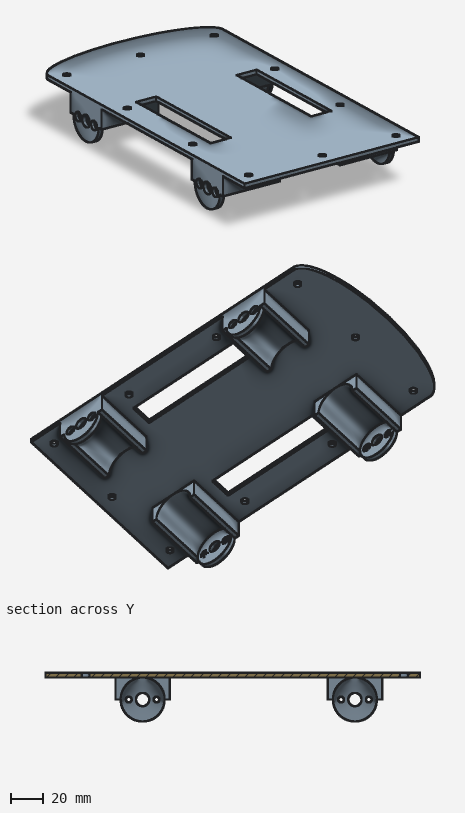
import cadquery as cq

plate_width = 130.0
plate_straight = 210.0
nose_length = 19.65
plate_thickness = 3.0

plate_hole_diameter = 4.5
edge_margin = 10.0
side_hole_x = (-edge_margin, -70.0, -140.0, -205.0)
middle_hole_x = (side_hole_x[0], side_hole_x[-1])
hole_row_y = plate_width / 2 - edge_margin

slot_length = 80.0
slot_width = 15.0
slot_center_x = -105.0
slot_center_y = 37.5

mount_x = (-40.0, -170.0)
mount_depth = 42.5
wall = 3.25
motor_radius = 13.5
motor_axis_z = -(plate_thickness + motor_radius)
mount_width = 2 * (motor_radius + wall)
mount_outer_y = -plate_width / 2

shaft_hole_diameter = 8.0
screw_spacing = 17.0
screw_diameter = 3.4
screw_head_diameter = 6.1
screw_head_depth = 2.5


def make_plate():
    """Flat plate with a half-elliptical nose."""
    straight_part = (
        cq.Workplane("XY")
        .center(-plate_straight / 2, 0)
        .rect(plate_straight, plate_width)
        .extrude(-plate_thickness)
    )
    nose = (
        cq.Workplane("XY")
        .center(-plate_straight, 0)
        .ellipse(nose_length, plate_width / 2)
        .extrude(-plate_thickness)
    )
    return straight_part.union(nose)


def make_fastening_holes():
    """Cutters for all fastening holes of the plate."""
    centers = [(x, y) for x in side_hole_x for y in (hole_row_y, -hole_row_y)]
    centers += [(x, 0) for x in middle_hole_x]
    return (
        cq.Workplane("XY")
        .pushPoints(centers)
        .circle(plate_hole_diameter / 2)
        .extrude(-plate_thickness)
    )


def make_windows():
    """Cutters for the two rectangular windows of the plate."""
    return (
        cq.Workplane("XY")
        .pushPoints([(slot_center_x, slot_center_y), (slot_center_x, -slot_center_y)])
        .rect(slot_length, slot_width)
        .extrude(-plate_thickness)
    )


def motor_axis_cylinder(x, diameter, length, start=0.0):
    """Cylinder along +Y at motor axis height, starting a given distance inside the -Y edge."""
    base = cq.Vector(x, mount_outer_y + start, motor_axis_z)
    return cq.Workplane(cq.Solid.makeCylinder(diameter / 2, length, base, cq.Vector(0, 1, 0)))


def make_mount(x):
    """Motor mount on the -Y edge: a cradle closed outside by a round-bottomed face."""
    cradle = (
        cq.Workplane("XY")
        .box(mount_width, mount_depth, -motor_axis_z, centered=(True, False, False))
        .translate((x, mount_outer_y, motor_axis_z))
    )
    motor_bore = motor_axis_cylinder(x, 2 * motor_radius, mount_depth - wall, start=wall)
    face = motor_axis_cylinder(x, 2 * motor_radius, wall)
    mount = cradle.cut(motor_bore).union(face)

    mount = mount.cut(motor_axis_cylinder(x, shaft_hole_diameter, wall))
    for side in (-1, 1):
        screw_x = x + side * screw_spacing / 2
        mount = mount.cut(motor_axis_cylinder(screw_x, screw_diameter, wall))
        mount = mount.cut(motor_axis_cylinder(screw_x, screw_head_diameter, screw_head_depth))
    return mount


result = make_plate().cut(make_fastening_holes()).cut(make_windows())
for center_x in mount_x:
    mount = make_mount(center_x)
    result = result.union(mount).union(mount.mirror("XZ"))